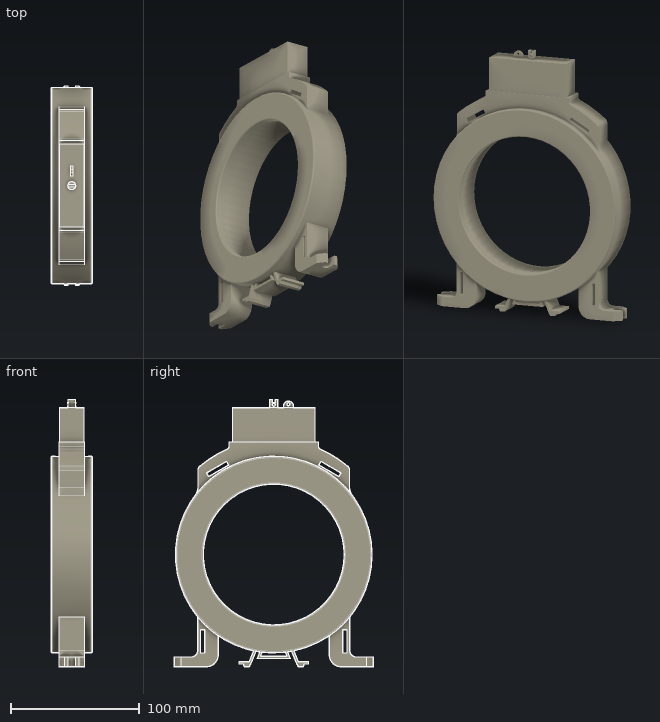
import cadquery as cq
import math


RING_RADIUS = 76.5
BORE_RADIUS = 54.7
RING_MIDDLE = (BORE_RADIUS + RING_RADIUS) / 2
RING_WIDTH = 32.0
RING_EDGE = 1.0

TOP_Z = 120.5
BASE_Z = -87.3

FRAME_WIDTH = 20.2
SADDLE_RADIUS = 89.5
SADDLE_HALF_LENGTH = 59.0
SADDLE_CORNER = 4.2
SADDLE_ROOT = 10.4
SEAT_HALF_LENGTH = 35.0
SEAT_Z = 87.5
SEAT_ROOT = 2.0
BOX_HALF_LENGTH = 32.2
BOX_WIDTH = 19.1
BOX_TOP_Z = 114.0

STRAP_SLOT_LENGTH = 17.9
STRAP_SLOT_WIDTH = 3.1
SADDLE_SLOT_Y = 43.6
SADDLE_SLOT_Z = 66.5
SADDLE_SLOT_TILT = 30.0
LEG_SLOT_Y = 55.3
LEG_SLOT_Z = -67.5

LEG_INNER_Y = 43.0
LEG_OUTER_Y = 59.2
FOOT_END_Y = 77.5
FOOT_THICKNESS = 7.7
HEEL_RADIUS = 9.5
INSTEP_RADIUS = 5.0
TOE_CHAMFER_X = 4.5
TOE_CHAMFER_Y = 5.6
BOLT_SLOT_WIDTH = 5.8
BOLT_SLOT_DEPTH = 9.5

CLIP_WIDTH = FRAME_WIDTH
CLIP_ROOT_Z = -73.8
CLIP_LEAN = 0.41
FRAME_BOTTOM_Z = -80.8
FRAME_BOTTOM_Y = 12.9
FRAME_WALL = 1.9
HOOK_BEND_Y = 19.1
HOOK_TOP_Z = -83.1
HOOK_WALL = 2.0
HOOK_TIP_Y = 27.0
NIB_START_Y = 23.7
NIB_OUTER_Y = 22.9
NIB_HEEL_Z = -85.0

POST_RADIUS = 3.1
POST_SLOT_WIDTH = 2.0
POST_SLOT_DEPTH = 2.5
EYE_DIAMETER = 2.0
POST_EYE_Z = 116.4
TAB_Y = 11.5
TAB_Z = 115.3
TAB_RADIUS = 4.0
TAB_THICKNESS = 1.9
TAB_EYE_Z = 116.8

TOUCH = 0.2


def block(width, y_min, y_max, z_min, z_max):
    """Box centred on X = 0."""
    return (
        cq.Workplane("XY")
        .box(width, y_max - y_min, z_max - z_min)
        .translate((0, (y_min + y_max) / 2, (z_min + z_max) / 2))
    )


def disc(width, radius, y=0.0, z=0.0):
    """Cylinder along X, centred on X = 0."""
    return cq.Workplane("YZ").center(y, z).circle(radius).extrude(width / 2, both=True)


def prism(width, points):
    """Y-Z outline extruded along X, centred on X = 0."""
    return cq.Workplane("YZ").polyline(points).close().extrude(width / 2, both=True)


def both_sides(body):
    """The body together with its mirror image in Y."""
    return body.union(body.mirror("XZ"))


def round_edge(body, y, z, radius):
    """Fillet the X-parallel edge at (y, z)."""
    near = cq.selectors.BoxSelector(
        (-FRAME_WIDTH, y - TOUCH, z - TOUCH),
        (FRAME_WIDTH, y + TOUCH, z + TOUCH),
    )
    return body.edges("|X").edges(near).fillet(radius)


def circle_height(radius, y):
    return math.sqrt(radius**2 - y**2)


def make_ring():
    ring = disc(RING_WIDTH, RING_RADIUS).cut(disc(RING_WIDTH, BORE_RADIUS))
    return ring.faces("<X or >X").edges().fillet(RING_EDGE)


def make_saddle():
    core = disc(FRAME_WIDTH, RING_RADIUS)
    arch = block(FRAME_WIDTH, -SADDLE_HALF_LENGTH, SADDLE_HALF_LENGTH, 0, SADDLE_RADIUS)
    arch = arch.intersect(disc(FRAME_WIDTH, SADDLE_RADIUS))
    arch = arch.cut(block(FRAME_WIDTH, -SEAT_HALF_LENGTH, SEAT_HALF_LENGTH, SEAT_Z, SADDLE_RADIUS))
    seat = block(FRAME_WIDTH, -SEAT_HALF_LENGTH, SEAT_HALF_LENGTH, 0, SEAT_Z)
    saddle = core.union(arch).union(seat)

    corner_z = circle_height(SADDLE_RADIUS, SADDLE_HALF_LENGTH)
    root_z = circle_height(RING_RADIUS, SADDLE_HALF_LENGTH)
    seat_root_z = circle_height(SADDLE_RADIUS, SEAT_HALF_LENGTH)
    for side in (1, -1):
        saddle = round_edge(saddle, side * SADDLE_HALF_LENGTH, corner_z, SADDLE_CORNER)
        saddle = round_edge(saddle, side * SADDLE_HALF_LENGTH, root_z, SADDLE_ROOT)
        saddle = round_edge(saddle, side * SEAT_HALF_LENGTH, seat_root_z, SEAT_ROOT)

    slot = (
        cq.Workplane("XY")
        .box(FRAME_WIDTH, STRAP_SLOT_LENGTH, STRAP_SLOT_WIDTH)
        .rotate((0, 0, 0), (1, 0, 0), -SADDLE_SLOT_TILT)
        .translate((0, SADDLE_SLOT_Y, SADDLE_SLOT_Z))
    )
    return saddle.cut(both_sides(slot)).cut(disc(FRAME_WIDTH, RING_MIDDLE))


def make_box():
    return block(BOX_WIDTH, -BOX_HALF_LENGTH, BOX_HALF_LENGTH, SEAT_Z, BOX_TOP_Z)


def make_leg():
    foot_top = BASE_Z + FOOT_THICKNESS
    leg_top = -circle_height(RING_RADIUS, LEG_OUTER_Y)
    upright = block(FRAME_WIDTH, LEG_INNER_Y, LEG_OUTER_Y, BASE_Z, leg_top)
    foot = block(FRAME_WIDTH, LEG_INNER_Y, FOOT_END_Y, BASE_Z, foot_top)
    leg = upright.union(foot)

    half_width = FRAME_WIDTH / 2
    for side in (1, -1):
        corner = (
            cq.Workplane("XY", origin=(0, 0, BASE_Z))
            .moveTo(side * half_width, FOOT_END_Y)
            .lineTo(side * (half_width - TOE_CHAMFER_X), FOOT_END_Y)
            .lineTo(side * half_width, FOOT_END_Y - TOE_CHAMFER_Y)
            .close()
            .extrude(FOOT_THICKNESS)
        )
        leg = leg.cut(corner)

    slot_radius = BOLT_SLOT_WIDTH / 2
    slot_centre_y = FOOT_END_Y - BOLT_SLOT_DEPTH + slot_radius
    round_end = (
        cq.Workplane("XY", origin=(0, slot_centre_y, BASE_Z)).circle(slot_radius).extrude(FOOT_THICKNESS)
    )
    leg = leg.cut(round_end).cut(block(BOLT_SLOT_WIDTH, slot_centre_y, FOOT_END_Y, BASE_Z, foot_top))

    strap_slot = block(
        FRAME_WIDTH,
        LEG_SLOT_Y - STRAP_SLOT_WIDTH / 2,
        LEG_SLOT_Y + STRAP_SLOT_WIDTH / 2,
        LEG_SLOT_Z - STRAP_SLOT_LENGTH / 2,
        LEG_SLOT_Z + STRAP_SLOT_LENGTH / 2,
    )
    leg = leg.cut(strap_slot)
    leg = round_edge(leg, LEG_INNER_Y, BASE_Z, HEEL_RADIUS)
    leg = round_edge(leg, LEG_OUTER_Y, foot_top, INSTEP_RADIUS)
    return leg


def lean_shift(z_from, z_to):
    """Y travel of a leaning clip wall between two heights."""
    return CLIP_LEAN * abs(z_to - z_from)


def make_dovetail():
    floor_z = FRAME_BOTTOM_Z + FRAME_WALL
    root_y = FRAME_BOTTOM_Y - lean_shift(FRAME_BOTTOM_Z, CLIP_ROOT_Z)
    pocket_y = FRAME_BOTTOM_Y - lean_shift(FRAME_BOTTOM_Z, floor_z) - FRAME_WALL
    pocket_root_y = root_y - FRAME_WALL
    outside = prism(
        CLIP_WIDTH,
        [
            (-FRAME_BOTTOM_Y, FRAME_BOTTOM_Z),
            (FRAME_BOTTOM_Y, FRAME_BOTTOM_Z),
            (root_y, CLIP_ROOT_Z),
            (-root_y, CLIP_ROOT_Z),
        ],
    )
    pocket = prism(
        CLIP_WIDTH,
        [
            (-pocket_y, floor_z),
            (pocket_y, floor_z),
            (pocket_root_y, CLIP_ROOT_Z),
            (-pocket_root_y, CLIP_ROOT_Z),
        ],
    )
    return outside.cut(pocket)


def make_hook():
    outer_root_y = HOOK_BEND_Y - lean_shift(HOOK_TOP_Z, CLIP_ROOT_Z)
    inner_root_y = outer_root_y - HOOK_WALL
    heel_y = inner_root_y + lean_shift(CLIP_ROOT_Z, NIB_HEEL_Z)
    hook_bottom_z = HOOK_TOP_Z - HOOK_WALL
    return prism(
        CLIP_WIDTH,
        [
            (outer_root_y, CLIP_ROOT_Z),
            (HOOK_BEND_Y, HOOK_TOP_Z),
            (HOOK_TIP_Y, HOOK_TOP_Z),
            (HOOK_TIP_Y, hook_bottom_z),
            (NIB_START_Y, hook_bottom_z),
            (NIB_OUTER_Y, BASE_Z),
            (HOOK_BEND_Y, BASE_Z),
            (heel_y, NIB_HEEL_Z),
            (inner_root_y, CLIP_ROOT_Z),
        ],
    )


def make_post():
    post = cq.Workplane("XY", origin=(0, 0, BOX_TOP_Z)).circle(POST_RADIUS).extrude(TOP_Z - BOX_TOP_Z)
    half_slot = POST_SLOT_WIDTH / 2
    slot = block(2 * POST_RADIUS, -half_slot, half_slot, TOP_Z - POST_SLOT_DEPTH, TOP_Z)
    eye = disc(2 * POST_RADIUS, EYE_DIAMETER / 2, 0, POST_EYE_Z)
    return post.cut(slot).cut(eye)


def make_tab():
    tab = disc(TAB_THICKNESS, TAB_RADIUS, TAB_Y, TAB_Z)
    return tab.cut(disc(TAB_THICKNESS, EYE_DIAMETER / 2, TAB_Y, TAB_EYE_Z))


result = (
    make_ring()
    .union(make_saddle())
    .union(make_box())
    .union(both_sides(make_leg()))
    .union(make_dovetail())
    .union(both_sides(make_hook()))
    .union(make_post())
    .union(make_tab())
)